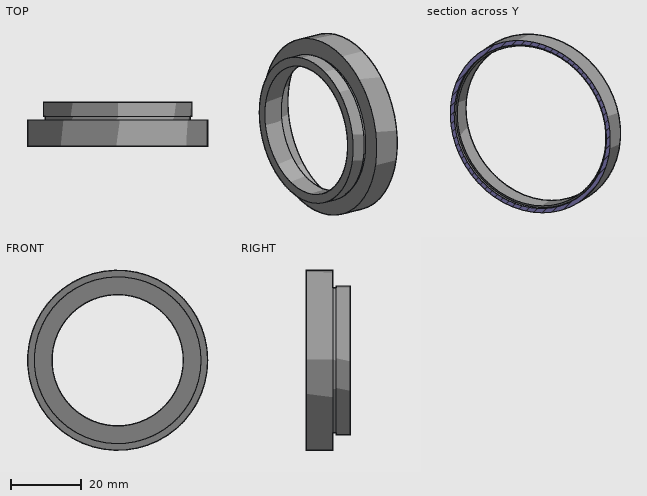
import cadquery as cq

flange_diameter = 50.8
flange_length = 7.5
neck_diameter = 41.0
neck_length = 0.95
spigot_diameter = 42.0
spigot_length = 4.0
bore_diameter = 36.95
recess_diameter = 47.0
recess_depth = 6.5
undercut_diameter = 48.0
undercut_width = 1.0

total_length = flange_length + neck_length + spigot_length


def cylinder(diameter, length, start=0.0):
    """Cylinder about the Y axis, running toward +Y from Y = start."""
    return cq.Workplane("XZ", origin=(0, start, 0)).circle(diameter / 2).extrude(-length)


flange = cylinder(flange_diameter, flange_length)
neck = cylinder(neck_diameter, neck_length, flange_length)
spigot = cylinder(spigot_diameter, spigot_length, flange_length + neck_length)
body = flange.union(neck).union(spigot)

bore = cylinder(bore_diameter, total_length)
recess = cylinder(recess_diameter, recess_depth)
undercut = cylinder(undercut_diameter, undercut_width, recess_depth - undercut_width)
result = body.cut(bore).cut(recess).cut(undercut)